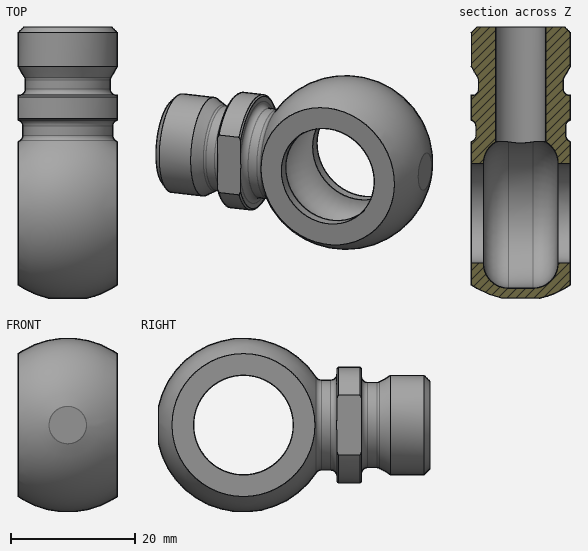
import cadquery as cq
import math


ball_diameter = 28.0
ball_radius = ball_diameter / 2
flat_width = 16.0
ring_bore_radius = 8.0
tip_flat_y = -13.68
overall_length = 43.7
stem_end_y = overall_length + tip_flat_y

chamber_radius = 12.0
chamber_half_width = 6.0
chamber_corner_radius = 3.98

stem_bore_diameter = 8.0
stem_bore_radius = stem_bore_diameter / 2
thread_radius = 8.0
end_chamfer = 0.95
relief_radius = 6.85
neck_radius = 7.25
neck_fillet = 1.0
relief_collar_fillet = 0.95
relief_cone_fillet = 0.8
relief_cone_angle = math.radians(30)

collar_radius = 9.35
collar_chamfer = 0.25
collar_width = 3.98

thread_length = 6.4
collar_distance = 11.0

thread_end_y = stem_end_y - thread_length
collar_back_y = stem_end_y - collar_distance
collar_front_y = collar_back_y - collar_width


def revolve_about_y(profile):
    return profile.close().revolve(360, (0, 0, 0), (0, 1, 0))


def arc_midpoint(center_x, center_y, radius, start_angle, end_angle):
    """Point halfway along an arc; angles are measured from +X."""
    angle = (start_angle + end_angle) / 2
    return (center_x + radius * math.cos(angle), center_y + radius * math.sin(angle))


def make_threaded_end():
    """Threaded cylinder tapering down to the undercut, which flares out to the collar."""
    cone_length = (thread_radius - relief_radius) / math.tan(relief_cone_angle)
    corner_y = thread_end_y - cone_length
    tangent = relief_cone_fillet * math.tan(relief_cone_angle / 2)
    cone_tangent_point = (
        relief_radius + tangent * math.sin(relief_cone_angle),
        corner_y + tangent * math.cos(relief_cone_angle),
    )
    cone_arc_middle = arc_midpoint(
        relief_radius + relief_cone_fillet, corner_y - tangent,
        relief_cone_fillet, math.pi, math.pi - relief_cone_angle,
    )
    flare_radius = relief_radius + relief_collar_fillet
    flare_start_y = collar_back_y + relief_collar_fillet
    flare_middle = arc_midpoint(
        flare_radius, flare_start_y, relief_collar_fillet, math.pi, 1.5 * math.pi,
    )
    profile = (
        cq.Workplane("XY")
        .moveTo(0, stem_end_y)
        .lineTo(thread_radius - end_chamfer, stem_end_y)
        .lineTo(thread_radius, stem_end_y - end_chamfer)
        .lineTo(thread_radius, thread_end_y)
        .lineTo(*cone_tangent_point)
        .threePointArc(cone_arc_middle, (relief_radius, corner_y - tangent))
        .lineTo(relief_radius, flare_start_y)
        .threePointArc(flare_middle, (flare_radius, collar_back_y))
        .lineTo(0, collar_back_y)
    )
    return revolve_about_y(profile)


def make_collar_and_neck():
    """Chamfered collar and the neck that blends tangentially into the ball."""
    fillet_x = neck_radius + neck_fillet
    collar_fillet_y = collar_front_y - neck_fillet
    collar_arc_middle = arc_midpoint(
        fillet_x, collar_fillet_y, neck_fillet, math.pi / 2, math.pi,
    )
    ball_fillet_y = math.sqrt((ball_radius + neck_fillet) ** 2 - fillet_x ** 2)
    ball_angle = math.atan2(ball_fillet_y, fillet_x)
    ball_arc_middle = arc_midpoint(
        fillet_x, ball_fillet_y, neck_fillet, math.pi, math.pi + ball_angle,
    )
    ball_tangent_point = (
        ball_radius * math.cos(ball_angle),
        ball_radius * math.sin(ball_angle),
    )
    profile = (
        cq.Workplane("XY")
        .moveTo(0, collar_back_y)
        .lineTo(collar_radius - collar_chamfer, collar_back_y)
        .lineTo(collar_radius, collar_back_y - collar_chamfer)
        .lineTo(collar_radius, collar_front_y + collar_chamfer)
        .lineTo(collar_radius - collar_chamfer, collar_front_y)
        .lineTo(fillet_x, collar_front_y)
        .threePointArc(collar_arc_middle, (neck_radius, collar_fillet_y))
        .lineTo(neck_radius, ball_fillet_y)
        .threePointArc(ball_arc_middle, ball_tangent_point)
        .lineTo(0, 0)
    )
    return revolve_about_y(profile)


def make_ball():
    """Sphere with a small flat at its tip."""
    tip_radius = math.sqrt(ball_radius ** 2 - tip_flat_y ** 2)
    profile = (
        cq.Workplane("XY")
        .moveTo(0, tip_flat_y)
        .lineTo(tip_radius, tip_flat_y)
        .threePointArc((ball_radius, 0), (0, ball_radius))
    )
    return revolve_about_y(profile)


def make_side_limits():
    """Slab along the stem whose two faces cut the ring faces and the collar flats in one plane."""
    slab_size = 2 * overall_length
    return cq.Workplane("XY").box(flat_width, slab_size, slab_size)


def make_ring_bore():
    return (
        cq.Workplane("YZ")
        .circle(ring_bore_radius)
        .extrude(flat_width, both=True)
    )


def make_chamber():
    return (
        cq.Workplane("YZ")
        .circle(chamber_radius)
        .extrude(chamber_half_width, both=True)
        .edges("%CIRCLE")
        .fillet(chamber_corner_radius)
    )


def make_stem_bore():
    return (
        cq.Workplane("XZ")
        .circle(stem_bore_radius)
        .extrude(-stem_end_y)
    )


result = (
    make_ball()
    .union(make_collar_and_neck())
    .union(make_threaded_end())
    .intersect(make_side_limits())
    .cut(make_ring_bore())
    .cut(make_chamber())
    .cut(make_stem_bore())
)